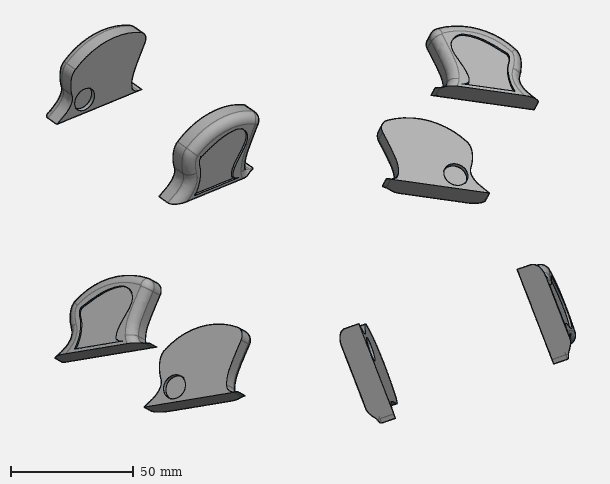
import cadquery as cq
import math

overall_length = 89.0
grip_thickness = 10.1
edge_radius = 4.0
outer_face_x = overall_length / 2
inner_face_x = outer_face_x - grip_thickness

crown_radius = 31.15
crown_apex_y = 30.3
crown_apex_z = 30.8
crown_center = (crown_apex_y, crown_apex_z - crown_radius)
crown_front_angle = 131.5
crown_rear_angle = 64.9

head_radius = 4.3
head_end_angle = -28.0

nose_point = (7.2, 16.0)
throat_point = (7.8, 11.2)
throat_tangent = (0.26, -0.96)
instep_points = [(8.1, 9.4), (6.05, 4.9)]
toe_point = (0.0, 0.0)
toe_tangent = (-0.79, -0.62)

back_point = (41.2, 13.35)
waist_point = (38.6, 3.7)
tail_radius = 3.6
tail_slope = 5.5
tail_start_angle = 180.0
tail_end_angle = 270.0 - tail_slope

trim_depth = 7.1
tail_run = 7.1

pocket_depth = 1.0
pocket_toe = (10.95, 1.4)
pocket_front_points = [(12.6, 4.9), (13.7, 9.35), (13.7, 13.4), (13.2, 16.55)]
pocket_nose = (14.15, 19.0)
pocket_top_points = [(20.0, 22.1), (27.0, 24.65)]
pocket_top = (32.0, 25.2)
pocket_rear_points = [(35.9, 23.8), (37.9, 20.4), (35.5, 13.4)]
pocket_heel_start = (31.3, 6.9)
pocket_heel_middle = (30.5, 4.8)
pocket_heel_end = (30.4, 2.7)
pocket_tail_middle = (31.4, 2.0)
pocket_tail = (33.3, 1.4)

hole_diameter = 10.2
hole_depth = 2.0
hole_center = (14.3, 6.6)


def on_circle(center, radius, angle):
    """Point on a circle, with the angle in degrees counted from +Y towards +Z."""
    turn = math.radians(angle)
    return (center[0] + radius * math.cos(turn), center[1] + radius * math.sin(turn))


def direction(angle):
    """Unit vector at an angle in degrees."""
    return on_circle((0, 0), 1, angle)


def grip_blank():
    """Extruded side outline with the rim of the outer face rounded."""
    crown_front = on_circle(crown_center, crown_radius, crown_front_angle)
    crown_rear = on_circle(crown_center, crown_radius, crown_rear_angle)
    head_center = on_circle(crown_center, crown_radius - head_radius, crown_rear_angle)
    head_middle = on_circle(head_center, head_radius, (crown_rear_angle + head_end_angle) / 2)
    head_end = on_circle(head_center, head_radius, head_end_angle)
    toe_rise_tangent = (-toe_tangent[0], -toe_tangent[1])
    throat_rise_tangent = (-throat_tangent[0], -throat_tangent[1])
    toe_run = trim_depth * toe_tangent[0] / toe_tangent[1]
    tail_center = (waist_point[0] + tail_radius, waist_point[1])
    tail_middle = on_circle(tail_center, tail_radius, (tail_start_angle + tail_end_angle) / 2)
    tail_bend = on_circle(tail_center, tail_radius, tail_end_angle)
    tail_end = on_circle(tail_bend, tail_run, -tail_slope)

    blank = (
        cq.Workplane("YZ", origin=(inner_face_x, 0, 0))
        .moveTo(*crown_front)
        .threePointArc((crown_apex_y, crown_apex_z), crown_rear)
        .threePointArc(head_middle, head_end)
        .spline(
            [back_point, waist_point],
            tangents=[direction(head_end_angle - 90), (0, -1)],
            includeCurrent=True,
        )
        .threePointArc(tail_middle, tail_bend)
        .lineTo(*tail_end)
        .lineTo(tail_end[0], -trim_depth)
        .lineTo(toe_point[0] - toe_run, -trim_depth)
        .lineTo(*toe_point)
        .spline(
            instep_points[::-1] + [throat_point],
            tangents=[toe_rise_tangent, throat_rise_tangent],
            includeCurrent=True,
        )
        .spline(
            [nose_point, crown_front],
            tangents=[throat_rise_tangent, direction(crown_front_angle - 90)],
            includeCurrent=True,
        )
        .close()
        .extrude(grip_thickness)
    )
    rim = blank.faces(">X").edges("not (|Y or |Z)")
    return rim.fillet(edge_radius)


def below_base():
    """Block covering everything of the blank that lies under Z = 0."""
    reach = 2 * overall_length
    return cq.Workplane("XY").rect(reach, reach).extrude(-2 * trim_depth)


def face_pocket():
    """Cutter for the shallow pocket, which follows the grip outline inside the outer face."""
    return (
        cq.Workplane("YZ", origin=(outer_face_x - pocket_depth, 0, 0))
        .moveTo(*pocket_toe)
        .spline(pocket_front_points + [pocket_nose], includeCurrent=True)
        .spline(pocket_top_points + [pocket_top], includeCurrent=True)
        .spline(pocket_rear_points + [pocket_heel_start], includeCurrent=True)
        .threePointArc(pocket_heel_middle, pocket_heel_end)
        .threePointArc(pocket_tail_middle, pocket_tail)
        .close()
        .extrude(grip_thickness)
    )


def inner_hole():
    """Cutter for the blind hole in the inner face."""
    return (
        cq.Workplane("YZ", origin=(inner_face_x, 0, 0))
        .center(*hole_center)
        .circle(hole_diameter / 2)
        .extrude(hole_depth)
    )


def grip():
    """The grip on the +X side."""
    return grip_blank().cut(below_base()).cut(face_pocket()).cut(inner_hole())


right_grip = grip()
left_grip = right_grip.mirror("YZ")

result = cq.Compound.makeCompound([left_grip.val(), right_grip.val()])